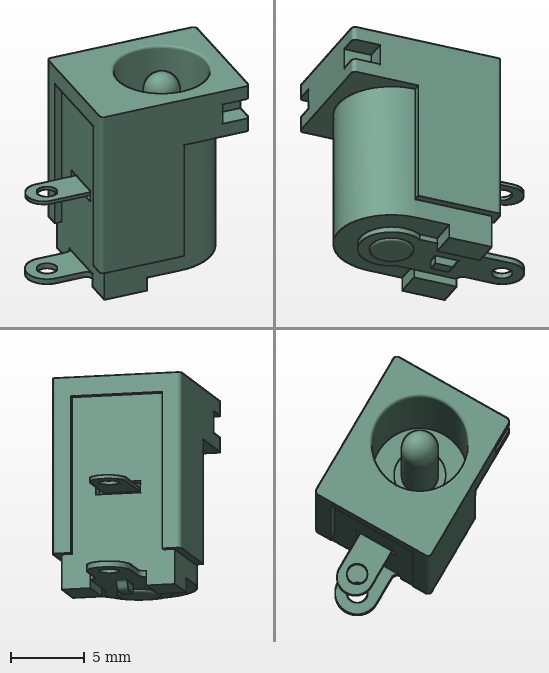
import cadquery as cq
import math


WIDTH = 9.0
FRONT_Y = -6.5
BACK_Y = 4.5
HEIGHT = 14.5
CORNER_RADIUS = 0.3
FLANGE_HEIGHT = 3.5
BLOCK_HEIGHT = 12.1
FLANGE_BOTTOM = HEIGHT - FLANGE_HEIGHT
BLOCK_BOTTOM = HEIGHT - BLOCK_HEIGHT

BARREL_Y = -0.33
BARREL_RADIUS = 3.95
BASE_BOTTOM = 1.0

FOOT_BACK_Y = -2.85
FOOT_GAP = 3.9

RECESS_WIDTH = 6.4
RECESS_DEPTH = 0.5
RECESS_TOP = HEIGHT - 1.3
RECESS_Y = FRONT_Y + RECESS_DEPTH

NOTCH_DEPTH = 1.5
NOTCH_LENGTH = 2.0
NOTCH_HEIGHT = 1.5
NOTCH_TOP = HEIGHT - 1.0

BORE_RADIUS = 3.25
BORE_DEPTH = 10.0
BORE_RIM = 0.2
BORE_FLOOR = HEIGHT - BORE_DEPTH

PIN_RADIUS = 1.25
PIN_TOP = HEIGHT - 0.3
COLLAR_RADIUS = 1.75
LUG_THICKNESS = 0.4
LUG_BOTTOM = BASE_BOTTOM - LUG_THICKNESS
LUG_HEAD_RADIUS = 2.3
LUG_WIDTH = 3.0
RIVET_RADIUS = 1.5
RIVET_HEIGHT = 0.18
RIVET_ROUND = 0.15

TANG_WIDTH = 0.76
TANG_FRONT_Y = -5.2
TANG_BACK_Y = -3.4
TANG_ANGLE = math.radians(60)
TANG_UPPER_BEND = 0.2
TANG_LOWER_BEND = 0.4

CONTACT_WIDTH = 2.5
CONTACT_THICKNESS = 0.25
CONTACT_Z = HEIGHT - 7.68
CONTACT_ROOT_Y = -4.0
WINDOW_WIDTH = 3.1
WINDOW_HEIGHT = 0.82
WINDOW_DEPTH = 1.0

LUG_TIP_Y = -10.0
SOLDER_HOLE_Y = -8.5
SOLDER_HOLE_DIAMETER = 1.4


def box(x_size, y_range, z_range, x_center=0.0):
    """Box centered on x_center that fills the given Y and Z ranges."""
    y_low, y_high = y_range
    z_low, z_high = z_range
    return (
        cq.Workplane("XY")
        .box(x_size, y_high - y_low, z_high - z_low, centered=(True, False, False))
        .translate((x_center, y_low, z_low))
    )


def cylinder(radius, z_low, z_high, y_center=0.0):
    """Upright cylinder centered on X = 0."""
    return (
        cq.Workplane("XY", origin=(0, y_center, z_low))
        .circle(radius)
        .extrude(z_high - z_low)
    )


def solder_strip(width, root_y, z_low, thickness):
    """Flat strip from root_y to the rounded tip, with a solder hole."""
    radius = width / 2
    shoulder_y = LUG_TIP_Y + radius
    strip = (
        cq.Workplane("XY", origin=(0, 0, z_low))
        .moveTo(-radius, root_y)
        .lineTo(-radius, shoulder_y)
        .threePointArc((0, LUG_TIP_Y), (radius, shoulder_y))
        .lineTo(radius, root_y)
        .close()
        .extrude(thickness)
    )
    hole = cylinder(SOLDER_HOLE_DIAMETER / 2, z_low, z_low + thickness, SOLDER_HOLE_Y)
    return strip.cut(hole)


def housing_outside():
    """Rounded block with an overhanging flange, the barrel and the feet."""
    block = box(WIDTH, (FRONT_Y, BACK_Y), (BLOCK_BOTTOM, HEIGHT)).edges("|Z").fillet(CORNER_RADIUS)
    block = block.cut(box(WIDTH, (BARREL_Y, BACK_Y), (BLOCK_BOTTOM, FLANGE_BOTTOM)))
    barrel = cylinder(BARREL_RADIUS, BASE_BOTTOM, HEIGHT - FLANGE_HEIGHT / 2, BARREL_Y)
    base = box(2 * BARREL_RADIUS, (RECESS_Y, BARREL_Y), (BASE_BOTTOM, BLOCK_BOTTOM))
    feet = box(2 * BARREL_RADIUS, (RECESS_Y, FOOT_BACK_Y), (0, BASE_BOTTOM))
    feet = feet.cut(box(FOOT_GAP, (RECESS_Y, FOOT_BACK_Y), (0, BASE_BOTTOM)))
    return block.union(barrel).union(base).union(feet)


def plug_bore():
    """Bore with a rounded rim, and the hole for the pin collar in its floor."""
    rim_radius = BORE_RADIUS + BORE_RIM
    arc_offset = BORE_RIM * math.sqrt(0.5)
    profile = (
        cq.Workplane("XZ")
        .moveTo(0, BASE_BOTTOM)
        .lineTo(COLLAR_RADIUS, BASE_BOTTOM)
        .lineTo(COLLAR_RADIUS, BORE_FLOOR)
        .lineTo(BORE_RADIUS, BORE_FLOOR)
        .lineTo(BORE_RADIUS, HEIGHT - BORE_RIM)
        .threePointArc(
            (rim_radius - arc_offset, HEIGHT - BORE_RIM + arc_offset),
            (rim_radius, HEIGHT),
        )
        .lineTo(0, HEIGHT)
        .close()
    )
    return profile.revolve(360, (0, 0), (0, 1))


def make_housing(contact):
    housing = housing_outside().cut(plug_bore())
    housing = housing.cut(box(RECESS_WIDTH, (FRONT_Y, RECESS_Y), (BLOCK_BOTTOM, RECESS_TOP)))
    for side in (-1, 1):
        notch = box(
            NOTCH_DEPTH,
            (BACK_Y - NOTCH_LENGTH, BACK_Y),
            (NOTCH_TOP - NOTCH_HEIGHT, NOTCH_TOP),
            side * (WIDTH - NOTCH_DEPTH) / 2,
        )
        housing = housing.cut(notch)
    window = box(
        WINDOW_WIDTH,
        (RECESS_Y, RECESS_Y + WINDOW_DEPTH),
        (CONTACT_Z - WINDOW_HEIGHT / 2, CONTACT_Z + WINDOW_HEIGHT / 2),
    )
    return housing.cut(window).cut(contact)


def center_lug():
    """Round head under the barrel, a neck between the feet and the solder strip."""
    head = cylinder(LUG_HEAD_RADIUS, LUG_BOTTOM, BASE_BOTTOM, BARREL_Y)
    flare = (FOOT_GAP - LUG_WIDTH) / 2
    neck = box(FOOT_GAP, (RECESS_Y - flare, BARREL_Y), (LUG_BOTTOM, BASE_BOTTOM))
    for side in (-1, 1):
        corner_cut = (
            cq.Workplane("XY", origin=(side * FOOT_GAP / 2, RECESS_Y - flare, LUG_BOTTOM))
            .circle(flare)
            .extrude(LUG_THICKNESS)
        )
        neck = neck.cut(corner_cut)
    strip = solder_strip(LUG_WIDTH, RECESS_Y, LUG_BOTTOM, LUG_THICKNESS)
    return head.union(neck).union(strip)


def tang():
    """Tongue below the lug whose front slopes down between two bends."""
    sine = math.sin(TANG_ANGLE)
    cosine = math.cos(TANG_ANGLE)
    half_sine = math.sin(TANG_ANGLE / 2)
    half_cosine = math.cos(TANG_ANGLE / 2)
    slope_top_y = TANG_FRONT_Y + TANG_UPPER_BEND * sine
    slope_top_z = LUG_BOTTOM - TANG_UPPER_BEND * (1 - cosine)
    slope_bottom_z = TANG_LOWER_BEND * (1 - cosine)
    slope_bottom_y = slope_top_y + (slope_top_z - slope_bottom_z) / math.tan(TANG_ANGLE)
    flat_y = slope_bottom_y + TANG_LOWER_BEND * sine
    upper_mid = (
        TANG_FRONT_Y + TANG_UPPER_BEND * half_sine,
        LUG_BOTTOM - TANG_UPPER_BEND * (1 - half_cosine),
    )
    lower_mid = (flat_y - TANG_LOWER_BEND * half_sine, TANG_LOWER_BEND * (1 - half_cosine))
    return (
        cq.Workplane("YZ")
        .moveTo(TANG_FRONT_Y, LUG_BOTTOM)
        .threePointArc(upper_mid, (slope_top_y, slope_top_z))
        .lineTo(slope_bottom_y, slope_bottom_z)
        .threePointArc(lower_mid, (flat_y, 0))
        .lineTo(TANG_BACK_Y, 0)
        .lineTo(TANG_BACK_Y, LUG_BOTTOM)
        .close()
        .extrude(TANG_WIDTH / 2, both=True)
    )


def make_center_terminal():
    dome_z = PIN_TOP - PIN_RADIUS
    pin = cylinder(PIN_RADIUS, BASE_BOTTOM, dome_z)
    dome = cq.Workplane("XY", origin=(0, 0, dome_z)).sphere(PIN_RADIUS)
    collar = cylinder(COLLAR_RADIUS, BASE_BOTTOM, BORE_FLOOR)
    rivet = cylinder(RIVET_RADIUS, LUG_BOTTOM - RIVET_HEIGHT, LUG_BOTTOM, BARREL_Y)
    rivet = rivet.faces("<Z").edges().fillet(RIVET_ROUND)
    return pin.union(dome).union(collar).union(center_lug()).union(rivet).union(tang())


def make_contact():
    return solder_strip(
        CONTACT_WIDTH,
        CONTACT_ROOT_Y,
        CONTACT_Z - CONTACT_THICKNESS / 2,
        CONTACT_THICKNESS,
    )


contact = make_contact()
housing = make_housing(contact)
center_terminal = make_center_terminal()

result = cq.Compound.makeCompound([housing.val(), center_terminal.val(), contact.val()])